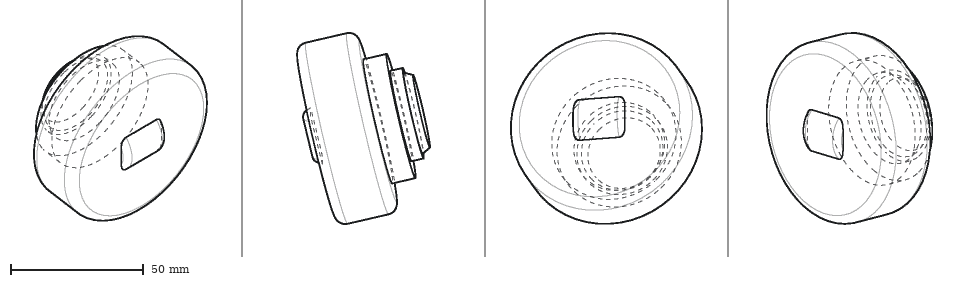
import cadquery as cq

wheel_diameter = 70.1
wheel_width = 23.8
wheel_edge_radius = 4.0

flange_diameter = 48.1
flange_width = 9.0
collar_diameter = 35.05
collar_width = 4.7
nose_base_diameter = 31.55
nose_tip_diameter = 28.05
nose_width = 3.2

roller_radius = 11.6
roller_length = 19.9
roller_edge_radius = 2.4
roller_protrusion = 3.3

collar_start = nose_width
flange_start = collar_start + collar_width
wheel_start = flange_start + flange_width
wheel_end = wheel_start + wheel_width


def disc(start, diameter, width):
    """Cylinder along X, beginning at the given station."""
    return cq.Workplane("YZ", origin=(start, 0, 0)).circle(diameter / 2).extrude(width)


def make_nose():
    """Truncated cone widening towards the collar."""
    return (
        cq.Workplane("YZ")
        .circle(nose_tip_diameter / 2)
        .workplane(offset=nose_width)
        .circle(nose_base_diameter / 2)
        .loft()
    )


def make_roller():
    """Round-edged cylinder along Y, centred on the wheel axis."""
    centre_x = wheel_end + roller_protrusion - roller_radius
    return (
        cq.Workplane("XZ", origin=(centre_x, 0, 0))
        .circle(roller_radius)
        .extrude(roller_length / 2, both=True)
        .edges()
        .fillet(roller_edge_radius)
    )


wheel = disc(wheel_start, wheel_diameter, wheel_width).edges().fillet(wheel_edge_radius)
flange = disc(flange_start, flange_diameter, flange_width)
collar = disc(collar_start, collar_diameter, collar_width)

result = wheel.union(flange).union(collar).union(make_nose()).union(make_roller())